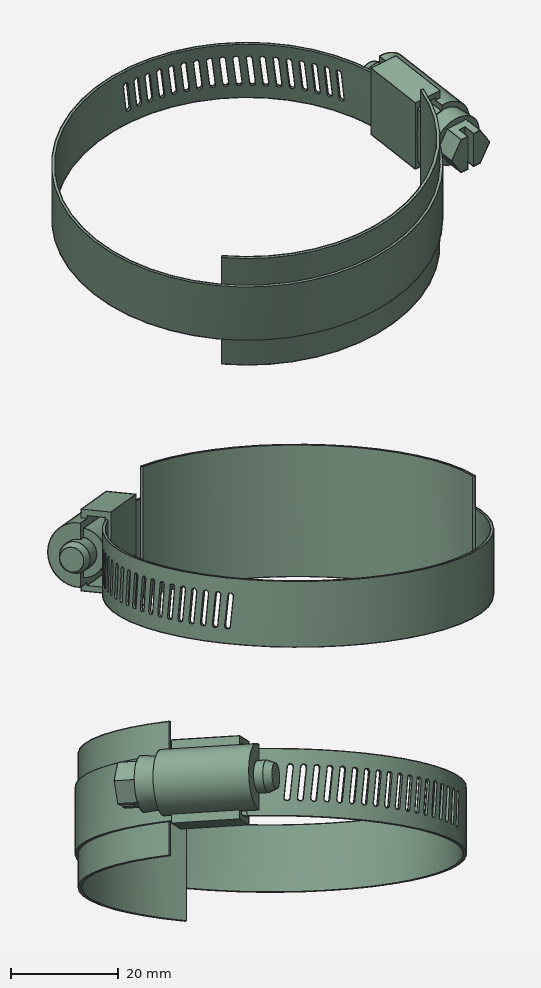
import cadquery as cq
import math


BAND_RADIUS = 36.4
BAND_THICKNESS = 0.55
BAND_WIDTH = 12.7
BAND_INNER_RADIUS = BAND_RADIUS - BAND_THICKNESS

SLOT_COUNT = 18
SLOT_PITCH_ANGLE = 3.96
SLOT_FIRST_ANGLE = 180.0
SLOT_LENGTH = 7.0
SLOT_WIDTH = 1.1
SLOT_SLANT = -6.0
SLOT_CUT_MARGIN = 1.0

LINER_WIDTH = 2 * BAND_WIDTH
LINER_THICKNESS = 0.6
LINER_INNER_RADIUS = BAND_INNER_RADIUS - LINER_THICKNESS
LINER_START_ANGLE = -46.2
LINER_END_ANGLE = 75.5

SCREW_AXIS_Y = 39.9
TIP_END_X = -13.5
TIP_CONE_LENGTH = 1.6
TIP_RADIUS = 3.05
TIP_END_RADIUS = 2.4
THREAD_START_X = -8.35
THREAD_RADIUS = 4.8
COLLAR_START_X = 8.55
COLLAR_LENGTH = 3.9
COLLAR_START_RADIUS = 5.0
COLLAR_END_RADIUS = 5.3
HEAD_ACROSS_CORNERS = 9.05
HEAD_LENGTH = 4.15
DRIVER_SLOT_WIDTH = 1.35
DRIVER_SLOT_DEPTH = 2.55
COLLAR_END_X = COLLAR_START_X + COLLAR_LENGTH
HEAD_END_X = COLLAR_END_X + HEAD_LENGTH

BOX_LENGTH = 13.25
BOX_WIDTH = 15.8
BOX_WALL = 1.15
BOX_BOTTOM_Y = 34.7
BOX_TOP_Y = 40.6
COVER_START_X = -10.1
COVER_TOP_Y = 45.95
COVER_HALF_WIDTH = 6.2
COVER_BOTTOM_Y = BOX_TOP_Y - BOX_WALL


def slot_cutter(angle):
    """Slanted slot running radially outward at the given angle around the band."""
    radial = cq.Vector(math.cos(math.radians(angle)), math.sin(math.radians(angle)), 0)
    plane = cq.Plane(origin=radial * (BAND_INNER_RADIUS - SLOT_CUT_MARGIN), xDir=(0, 0, 1), normal=radial)
    outline = cq.Workplane(plane).slot2D(SLOT_LENGTH, SLOT_WIDTH, SLOT_SLANT)
    return outline.extrude(BAND_THICKNESS + 2 * SLOT_CUT_MARGIN)


def make_band():
    outline = cq.Workplane("XY").circle(BAND_RADIUS).circle(BAND_INNER_RADIUS)
    band = outline.extrude(BAND_WIDTH / 2, both=True)
    for index in range(SLOT_COUNT):
        band = band.cut(slot_cutter(SLOT_FIRST_ANGLE - index * SLOT_PITCH_ANGLE))
    return band


def make_box():
    height = BOX_TOP_Y - BOX_BOTTOM_Y
    return (
        cq.Workplane("YZ", origin=(0, (BOX_TOP_Y + BOX_BOTTOM_Y) / 2, 0))
        .rect(height, BOX_WIDTH)
        .rect(height - 2 * BOX_WALL, BOX_WIDTH - 2 * BOX_WALL)
        .extrude(BOX_LENGTH / 2, both=True)
    )


def make_cover():
    return (
        cq.Workplane("YZ", origin=(COVER_START_X, 0, 0))
        .moveTo(COVER_BOTTOM_Y, -COVER_HALF_WIDTH)
        .lineTo(BOX_TOP_Y, -COVER_HALF_WIDTH)
        .threePointArc((COVER_TOP_Y, 0), (BOX_TOP_Y, COVER_HALF_WIDTH))
        .lineTo(COVER_BOTTOM_Y, COVER_HALF_WIDTH)
        .close()
        .extrude(COLLAR_START_X - COVER_START_X)
    )


def make_screw():
    shank = (
        cq.Workplane("XY", origin=(0, SCREW_AXIS_Y, 0))
        .moveTo(TIP_END_X, 0)
        .lineTo(TIP_END_X, TIP_END_RADIUS)
        .lineTo(TIP_END_X + TIP_CONE_LENGTH, TIP_RADIUS)
        .lineTo(THREAD_START_X, TIP_RADIUS)
        .lineTo(THREAD_START_X, THREAD_RADIUS)
        .lineTo(COLLAR_START_X, THREAD_RADIUS)
        .lineTo(COLLAR_START_X, COLLAR_START_RADIUS)
        .lineTo(COLLAR_END_X, COLLAR_END_RADIUS)
        .lineTo(COLLAR_END_X, 0)
        .close()
        .revolve(360, (0, 0), (1, 0))
    )
    head = (
        cq.Workplane("YZ", origin=(COLLAR_END_X, SCREW_AXIS_Y, 0))
        .polygon(6, HEAD_ACROSS_CORNERS)
        .extrude(HEAD_LENGTH)
    )
    driver_slot = cq.Workplane("XY").box(2 * DRIVER_SLOT_DEPTH, DRIVER_SLOT_WIDTH, HEAD_ACROSS_CORNERS)
    return shank.union(head.cut(driver_slot.translate((HEAD_END_X, SCREW_AXIS_Y, 0))))


def make_clamp():
    """Band, housing and screw joined, since the screw runs into the slotted band."""
    return make_band().union(make_box()).union(make_cover()).union(make_screw())


def make_liner():
    section = cq.Workplane("XZ").moveTo(LINER_INNER_RADIUS + LINER_THICKNESS / 2, 0)
    section = section.rect(LINER_THICKNESS, LINER_WIDTH)
    strip = section.revolve(LINER_END_ANGLE - LINER_START_ANGLE, (0, 0), (0, 1))
    return strip.rotate((0, 0, 0), (0, 0, 1), LINER_START_ANGLE)


clamp = make_clamp()
liner = make_liner()

result = cq.Compound.makeCompound([clamp.solids().val(), liner.val()])